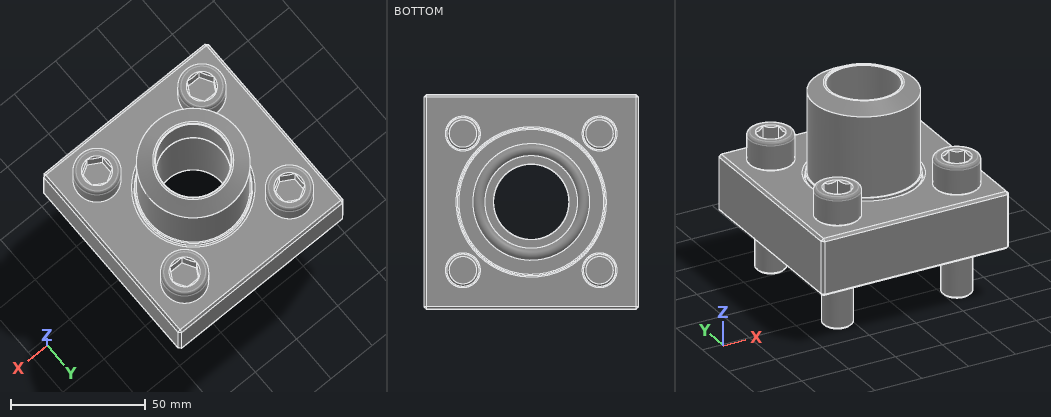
import cadquery as cq
import math

plate_side = 80
plate_height = 24
plate_chamfer = 1
bore_diameter = 44
bore_chamfer = 1
collar_recess_diameter = 56
collar_recess_depth = 12
bolt_circle_diameter = 72
bolt_spacing = bolt_circle_diameter / math.sqrt(2)
bolt_hole_diameter = 13

pipe_diameter = 42.4
pipe_bore_diameter = 28.2
shank_diameter = 43.5
shank_top = plate_height + 0.6
nipple_bore_diameter = 28
bore_step_height = 43
collar_diameter = 55
collar_drop = 2
collar_chamfer = 0.5
nipple_top = 62
weld_land_width = 0.7
bore_rim_chamfer = 0.3
weld_bevel_angle = 30
weld_bevel_edge_radius = 0.13

groove_inner_diameter = 34.5
groove_outer_diameter = 43.5
ring_projection = 1
ring_cord_diameter = (groove_outer_diameter - groove_inner_diameter) / 2
groove_depth = ring_cord_diameter - ring_projection

screw_diameter = 12
screw_length = 45
screw_tip_chamfer = 0.9
head_diameter = 18
head_height = 12
head_fillet = 1.2
head_base_chamfer = 0.6
socket_width = 10
socket_depth = 8
socket_corner_diameter = socket_width / math.cos(math.radians(30))
countersink_depth = socket_corner_diameter / 2


def make_plate():
    half_spacing = bolt_spacing / 2
    sides = (-half_spacing, half_spacing)
    bolt_points = [(x, y) for x in sides for y in sides]
    plate = cq.Workplane("XY").box(plate_side, plate_side, plate_height, centered=(True, True, False))
    plate = plate.edges().chamfer(plate_chamfer)
    plate = plate.faces(">Z").workplane(origin=(0, 0, plate_height)).hole(bore_diameter)
    plate = plate.faces(">Z").edges("%CIRCLE").chamfer(bore_chamfer)
    recess = cq.Workplane("XY").circle(collar_recess_diameter / 2).extrude(collar_recess_depth)
    bolt_hole_radius = bolt_hole_diameter / 2
    bolt_holes = cq.Workplane("XY").pushPoints(bolt_points).circle(bolt_hole_radius).extrude(plate_height)
    return plate.cut(recess).cut(bolt_holes)


def make_nipple():
    pipe_radius = pipe_diameter / 2
    pipe_bore_radius = pipe_bore_diameter / 2
    rim_radius = pipe_bore_radius + bore_rim_chamfer
    land_radius = rim_radius + weld_land_width
    bevel_height = (pipe_radius - land_radius) * math.tan(math.radians(weld_bevel_angle))
    bevel_base = nipple_top - bevel_height
    groove_top = groove_depth - collar_drop
    profile = [
        (nipple_bore_diameter / 2, -collar_drop),
        (groove_inner_diameter / 2, -collar_drop),
        (groove_inner_diameter / 2, groove_top),
        (groove_outer_diameter / 2, groove_top),
        (groove_outer_diameter / 2, -collar_drop),
        (collar_diameter / 2 - collar_chamfer, -collar_drop),
        (collar_diameter / 2, collar_chamfer - collar_drop),
        (collar_diameter / 2, collar_recess_depth),
        (shank_diameter / 2, collar_recess_depth),
        (shank_diameter / 2, shank_top),
        (pipe_radius, shank_top),
        (pipe_radius, bevel_base),
        (land_radius, nipple_top),
        (rim_radius, nipple_top),
        (pipe_bore_radius, nipple_top - bore_rim_chamfer),
        (pipe_bore_radius, bore_step_height),
        (nipple_bore_diameter / 2, bore_step_height),
    ]
    nipple = cq.Workplane("XZ").polyline(profile).close().revolve(360, (0, 0), (0, 1))
    bevel_edge = cq.selectors.NearestToPointSelector((0, 0, bevel_base))
    return nipple.edges(bevel_edge).fillet(weld_bevel_edge_radius)


def make_o_ring():
    centre_radius = (groove_inner_diameter + groove_outer_diameter) / 4
    centre_height = groove_depth - collar_drop - ring_cord_diameter / 2
    return (
        cq.Workplane("XZ")
        .center(centre_radius, centre_height)
        .circle(ring_cord_diameter / 2)
        .revolve(360, (-centre_radius, 0), (-centre_radius, 1))
    )


def make_screw():
    """Cap screw on the Z axis, head seated on z = 0, two socket corners on the X axis."""
    head = cq.Workplane("XY").circle(head_diameter / 2).extrude(head_height)
    head = head.faces(">Z").edges().fillet(head_fillet)
    head = head.faces("<Z").edges().chamfer(head_base_chamfer)
    shank = cq.Workplane("XY").circle(screw_diameter / 2).extrude(-screw_length)
    shank = shank.faces("<Z").edges().chamfer(screw_tip_chamfer)
    socket = (
        cq.Workplane("XY", origin=(0, 0, head_height - socket_depth))
        .polygon(6, socket_corner_diameter)
        .extrude(socket_depth)
    )
    countersink_radius = socket_corner_diameter / 2
    countersink_cone = cq.Solid.makeCone(0, countersink_radius, countersink_depth)
    countersink = cq.Workplane(countersink_cone).translate((0, 0, head_height - countersink_depth))
    return head.union(shank).cut(socket).cut(countersink)


def make_screws():
    """Four screws in a circular pattern, each turned a further quarter turn."""
    first_screw = make_screw().translate((bolt_spacing / 2, bolt_spacing / 2, plate_height))
    return [first_screw.rotate((0, 0, 0), (0, 0, 1), 90 * turn) for turn in range(4)]


plate = make_plate()
nipple = make_nipple()
o_ring = make_o_ring()
screws = make_screws()
screw_solids = [screw.val() for screw in screws]

result = cq.Compound.makeCompound([plate.val(), nipple.val(), o_ring.val(), *screw_solids])